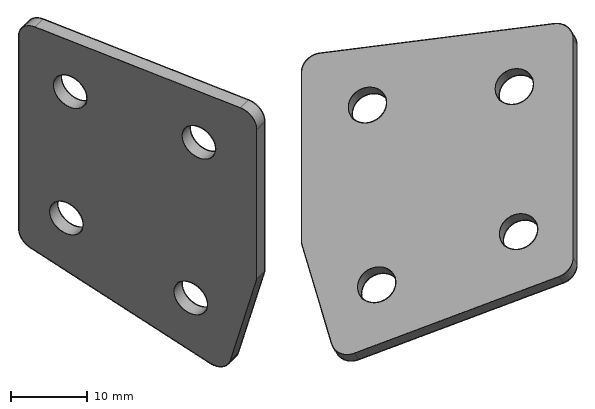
import cadquery as cq
import math

width = 37.0
height = 44.75
thickness = 2.0
corner_radius = 2.55

tilt = math.radians(15)
right_side_length = 27.5

hole_diameter = 5.2
hole_spacing = 20.0
upper_left_hole = (8.0, -8.5)
lower_left_hole = (7.43, -29.85)


def along(start, distance, angle):
    """Point at a distance from start, with the angle measured up from +X."""
    return (start[0] + distance * math.cos(angle), start[1] + distance * math.sin(angle))


slant_drop = height - right_side_length - corner_radius + corner_radius * math.sin(tilt)
slant_length = slant_drop / math.cos(tilt) + corner_radius

right_bend = (width, -right_side_length)
bottom_tip = along(right_bend, slant_length, -math.pi / 2 - tilt)
lower_left = (0, bottom_tip[1] + bottom_tip[0] * math.tan(tilt))

outline = [(0, 0), (width, 0), right_bend, bottom_tip, lower_left]
rounded_corners = [(0, 0), (width, 0), bottom_tip, lower_left]


def make_plate():
    plate = cq.Workplane("XZ").polyline(outline).close().extrude(thickness)
    for x, z in rounded_corners:
        corner_edge = cq.selectors.NearestToPointSelector((x, -thickness / 2, z))
        plate = plate.edges("|Y").edges(corner_edge).fillet(corner_radius)
    return plate


def make_holes():
    centers = [
        upper_left_hole,
        along(upper_left_hole, hole_spacing, 0),
        lower_left_hole,
        along(lower_left_hole, hole_spacing, -tilt),
    ]
    return cq.Workplane("XZ").pushPoints(centers).circle(hole_diameter / 2).extrude(thickness)


result = make_plate().cut(make_holes())